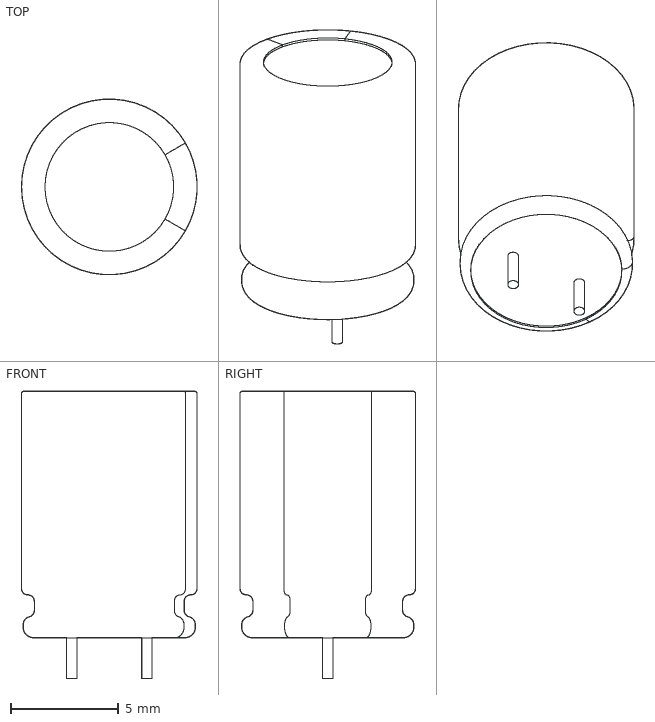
import cadquery as cq
import math


body_radius = 8.2 / 2
body_height = 11.5
wall = 0.1
top_round = 0.1
top_opening_radius = 6.0 / 2

neck_radius = 7.0 / 2
neck_round = 0.3
shoulder_round = body_radius - neck_radius - neck_round
neck_top = 1.7
foot_radius = 8.05 / 2
foot_upper_round = 0.4
foot_lower_round = 0.5
foot_band = 0.1

mark_angle = 60.0

lead_diameter = 0.5
lead_pitch = 3.5
lead_length = 1.9

foot_upper_x = foot_radius - foot_upper_round
foot_upper_z = foot_lower_round + foot_band
neck_round_x = neck_radius + neck_round
neck_bottom = foot_upper_z + math.sqrt(
    (foot_upper_round + neck_round) ** 2 - (neck_round_x - foot_upper_x) ** 2
)


def point_on_arc(x, z, radius, degrees):
    """Point on a circle about (x, z), the angle counted from the outward direction."""
    angle = math.radians(degrees)
    return (x + radius * math.cos(angle), z + radius * math.sin(angle))


def crimped_body(inset, sweep):
    """Solid of revolution with the crimped outline moved inward by inset, starting at +X."""
    convex_foot_upper = foot_upper_round - inset
    convex_foot_lower = foot_lower_round - inset
    convex_shoulder = shoulder_round - inset
    concave_neck = neck_round + inset
    foot_lower_x = foot_radius - foot_lower_round
    shoulder_z = neck_top + neck_round + shoulder_round
    tangent_angle = math.degrees(math.atan2(neck_bottom - foot_upper_z, neck_round_x - foot_upper_x))

    def foot_lower(degrees):
        return point_on_arc(foot_lower_x, foot_lower_round, convex_foot_lower, degrees)

    def foot_upper(degrees):
        return point_on_arc(foot_upper_x, foot_upper_z, convex_foot_upper, degrees)

    def neck_lower(degrees):
        return point_on_arc(neck_round_x, neck_bottom, concave_neck, degrees)

    def neck_upper(degrees):
        return point_on_arc(neck_round_x, neck_top, concave_neck, degrees)

    def shoulder(degrees):
        return point_on_arc(body_radius - shoulder_round, shoulder_z, convex_shoulder, degrees)

    return (
        cq.Workplane("XZ")
        .moveTo(0, inset)
        .lineTo(*foot_lower(-90))
        .threePointArc(foot_lower(-45), foot_lower(0))
        .lineTo(*foot_upper(0))
        .threePointArc(foot_upper(tangent_angle / 2), foot_upper(tangent_angle))
        .threePointArc(neck_lower(180 + tangent_angle / 2), neck_lower(180))
        .lineTo(*neck_upper(180))
        .threePointArc(neck_upper(135), neck_upper(90))
        .threePointArc(shoulder(-45), shoulder(0))
        .lineTo(body_radius - inset, body_height - inset)
        .lineTo(0, body_height - inset)
        .close()
        .revolve(sweep, (0, 0), (0, 1))
    )


def make_can():
    """Can that fills the sleeve."""
    return crimped_body(wall, 360)


def make_sleeve_sector(start_angle, sweep):
    """Sector of the thin sleeve, open over the middle of the can's top and base."""
    base_opening_radius = foot_radius - foot_lower_round
    top_opening = (
        cq.Workplane("XY")
        .workplane(offset=body_height - wall)
        .circle(top_opening_radius)
        .extrude(wall)
    )
    base_opening = cq.Workplane("XY").circle(base_opening_radius).extrude(wall)
    sector = crimped_body(0, sweep).faces(">Z").edges("%CIRCLE").fillet(top_round)
    sector = sector.cut(make_can()).cut(top_opening).cut(base_opening)
    return sector.rotate((0, 0, 0), (0, 0, 1), start_angle)


def make_lead(x):
    """Straight round lead that ends on the can's base."""
    return (
        cq.Workplane("XY")
        .workplane(offset=-lead_length)
        .center(x, 0)
        .circle(lead_diameter / 2)
        .extrude(lead_length + wall)
    )


can = make_can()
mark = make_sleeve_sector(-mark_angle / 2, mark_angle)
sleeve = make_sleeve_sector(mark_angle / 2, 360 - mark_angle)
leads = [make_lead(side * lead_pitch / 2) for side in (-1, 1)]

result = cq.Compound.makeCompound(
    [can.val(), sleeve.val(), mark.val(), *[lead.val() for lead in leads]]
)